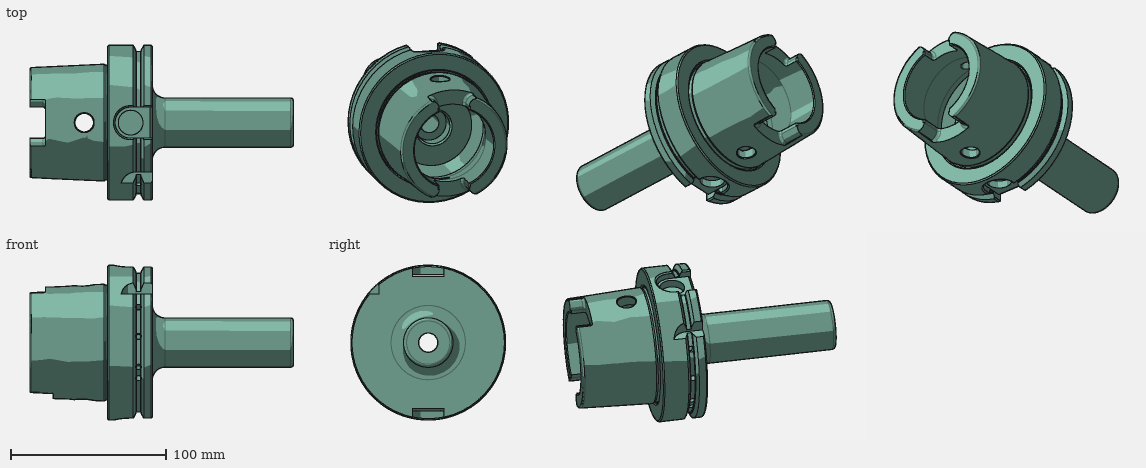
import cadquery as cq
import math


cut_clearance = 1.7
edge_margin = 0.8

total_length = 170.0
flange_front = 50.0
flange_rear = 79.0

taper_mouth_radius = 35.5
taper_base_radius = 37.7
taper_length = 47.8
taper_end_fillet = 1.2
neck_start = 49.0
neck_radius = 37.0

flange_radius = 50.0
flange_chamfer = 0.8
face_recess_radius = 38.2
face_recess_depth = 0.8
face_recess_chamfer = 0.8

groove_center = 70.0
groove_root_radius = 45.9
groove_root_width = 3.4
groove_root_corner = 0.3
groove_step_radius = 47.0
groove_flank_angle = 30.0

shank_radius = 16.0
shank_fillet = 8.0
shank_end_fillet = 2.0

bore_radius = 26.5
bore_mouth_chamfer = 0.7
bore_straight_length = 20.4
undercut_radius = 31.5
undercut_start = 41.0
bore_floor_radius = 25.3
bore_depth = 51.0
coolant_seat_radius = 11.0
coolant_seat_chamfer = 1.2
coolant_seat_depth = 10.2
through_hole_radius = 6.1

cross_hole_center = 35.0
cross_hole_radius = 6.0
cross_hole_chamfer = 0.5

drive_slot_half_width = 10.0
drive_slot_corner_radius = 5.0
drive_slot_shoulder = 32.0
upper_drive_slot_depth = 10.0
lower_drive_slot_depth = 15.0
drive_slot_floor_fillet = 1.7
drive_slot_entry_chamfer = 0.8

gripper_slot_center = 65.0
gripper_slot_half_width = 10.0
gripper_slot_floor = 44.0
gripper_slot_edge_chamfer = 1.0
gripper_slot_rear_chamfer = 1.5
spot_hole_radius = 8.0
spot_hole_depth = 5.3

notch_center = 68.3
notch_radius = 9.9
notch_floor = 31.5
notch_wall = 31.8

balance_hole_radius = 1.9
balance_hole_depth = 6.8
balance_hole_angles = (30.0, 5.0, -20.0, -30.0)


def turned(points):
    """Solid of revolution about X from (x, radius) points."""
    return cq.Workplane("XY").polyline(points).close().revolve(360, (0, 0, 0), (1, 0, 0))


def mirrored_pair(solid):
    """The solid together with its mirror image below the axis."""
    return solid.union(solid.mirror("XY"))


def gripper_slot_cutter():
    """Round-ended slot, open to the rear, from the slot floor outwards."""
    length = flange_rear - gripper_slot_center + gripper_slot_half_width
    height = flange_radius - gripper_slot_floor + cut_clearance
    width = 2 * gripper_slot_half_width
    plane = cq.Workplane("XY", origin=(gripper_slot_center, 0, gripper_slot_floor))
    round_end = plane.circle(gripper_slot_half_width).extrude(height)
    straight = plane.rect(2 * length, width).extrude(height)
    straight = straight.intersect(plane.box(length, width, 2 * height, centered=(False, True, True)))
    return round_end.union(straight)


def flange():
    """Flange disc with gripper slots, edge chamfers and the gripper groove."""
    width = flange_rear - flange_front
    disc = cq.Workplane("YZ", origin=(flange_front, 0, 0)).circle(flange_radius).extrude(width)
    disc = disc.cut(mirrored_pair(gripper_slot_cutter()))

    reach = gripper_slot_half_width + edge_margin
    for bottom, top in (
        (gripper_slot_floor + edge_margin, flange_radius + edge_margin),
        (-flange_radius - edge_margin, -gripper_slot_floor - edge_margin),
    ):
        slot_rim = cq.selectors.BoxSelector(
            (flange_front + edge_margin, -reach, bottom),
            (flange_rear - edge_margin, reach, top),
        )
        disc = disc.edges(slot_rim).chamfer(gripper_slot_edge_chamfer)

    disc = disc.edges("|Y").edges(">X").chamfer(gripper_slot_rear_chamfer)
    rim = flange_radius - flange_chamfer
    envelope = turned([
        (flange_front, 0),
        (flange_front, rim),
        (flange_front + flange_chamfer, flange_radius),
        (flange_rear - flange_chamfer, flange_radius),
        (flange_rear, rim),
        (flange_rear, 0),
    ])
    return disc.intersect(envelope).cut(groove_cutter()).cut(face_recess_cutter())


def groove_cutter():
    """Ring with a straight-walled root and flanks that open outwards."""
    outer = flange_radius + cut_clearance
    corner = groove_root_corner
    half_root = groove_root_width / 2
    half_top = half_root + (outer - groove_step_radius) * math.tan(math.radians(groove_flank_angle))
    return turned([
        (groove_center - half_root + corner, groove_root_radius),
        (groove_center - half_root, groove_root_radius + corner),
        (groove_center - half_root, groove_step_radius),
        (groove_center - half_top, outer),
        (groove_center + half_top, outer),
        (groove_center + half_root, groove_step_radius),
        (groove_center + half_root, groove_root_radius + corner),
        (groove_center + half_root - corner, groove_root_radius),
    ])


def face_recess_cutter():
    """Shallow chamfered recess around the neck in the flange face."""
    floor = flange_front + face_recess_depth + face_recess_chamfer
    return turned([
        (flange_front, 0),
        (flange_front, face_recess_radius + face_recess_chamfer),
        (flange_front + face_recess_chamfer, face_recess_radius),
        (floor, face_recess_radius),
        (floor, 0),
    ])


def taper():
    """Tapered shaft with its cross hole, and the undercut behind it."""
    neck_end = flange_front + face_recess_depth + face_recess_chamfer
    shaft = turned([
        (0, 0),
        (0, taper_mouth_radius),
        (taper_length, taper_base_radius),
        (neck_start, neck_radius),
        (neck_end, neck_radius),
        (neck_end, 0),
    ])
    shaft = shaft.faces("<X").edges().fillet(taper_end_fillet)
    shaft = shaft.cut(cross_hole_cutter())
    rim_reach = cross_hole_radius + edge_margin
    hole_rims = cq.selectors.BoxSelector(
        (cross_hole_center - rim_reach, -rim_reach, -taper_base_radius),
        (cross_hole_center + rim_reach, rim_reach, taper_base_radius),
        boundingbox=True,
    )
    return shaft.edges(hole_rims).edges("not |Z").chamfer(cross_hole_chamfer)


def shank():
    """Plain shank blended into the rear of the flange."""
    blend = shank_fillet * (1 - math.sqrt(0.5))
    return (
        cq.Workplane("XY")
        .moveTo(flange_rear, 0)
        .lineTo(flange_rear, shank_radius + shank_fillet)
        .threePointArc(
            (flange_rear + blend, shank_radius + blend),
            (flange_rear + shank_fillet, shank_radius),
        )
        .lineTo(total_length, shank_radius)
        .lineTo(total_length, 0)
        .close()
        .revolve(360, (0, 0, 0), (1, 0, 0))
        .faces(">X")
        .edges()
        .fillet(shank_end_fillet)
    )


def bore_cutter():
    """Clamping bore, coolant seat and the hole through the whole length."""
    undercut_end = bore_depth - (undercut_radius - bore_floor_radius)
    seat_end = bore_depth + coolant_seat_depth
    return turned([
        (0, 0),
        (0, bore_radius + bore_mouth_chamfer),
        (bore_mouth_chamfer, bore_radius),
        (bore_straight_length, bore_radius),
        (undercut_start, undercut_radius),
        (undercut_end, undercut_radius),
        (bore_depth, bore_floor_radius),
        (bore_depth, coolant_seat_radius + coolant_seat_chamfer),
        (bore_depth + coolant_seat_chamfer, coolant_seat_radius),
        (seat_end, coolant_seat_radius),
        (seat_end, through_hole_radius),
        (total_length, through_hole_radius),
        (total_length, 0),
    ])


def drive_slot_cutter(depth):
    """Slot above the axis whose walls curve outwards to a flat shoulder."""
    inner = bore_radius / 2
    outer = taper_base_radius
    half = drive_slot_half_width
    radius = drive_slot_corner_radius
    bend = radius * (1 - math.sqrt(0.5))
    top = drive_slot_shoulder
    slot = (
        cq.Workplane("YZ")
        .moveTo(-half, inner)
        .lineTo(half, inner)
        .lineTo(half, top - radius)
        .threePointArc((half + bend, top - bend), (half + radius, top))
        .lineTo(half + radius, outer)
        .lineTo(-half - radius, outer)
        .lineTo(-half - radius, top)
        .threePointArc((-half - bend, top - bend), (-half, top - radius))
        .close()
        .extrude(depth)
    )
    walls = cq.selectors.BoxSelector(
        (depth - edge_margin, -half - radius + edge_margin, inner + edge_margin),
        (depth + edge_margin, half + radius - edge_margin, top - edge_margin),
    )
    entry = (
        cq.Workplane("XY", origin=(0, 0, inner))
        .polyline([
            (0, -half - drive_slot_entry_chamfer),
            (drive_slot_entry_chamfer, -half),
            (drive_slot_entry_chamfer, half),
            (0, half + drive_slot_entry_chamfer),
        ])
        .close()
        .extrude(top - radius - inner)
    )
    return slot.edges(walls).fillet(drive_slot_floor_fillet).union(entry)


def cross_hole_cutter():
    """Cylinder through both sides of the taper wall."""
    plane = cq.Workplane("XY", origin=(cross_hole_center, 0, 0))
    return plane.circle(cross_hole_radius).extrude(taper_base_radius + cut_clearance, both=True)


def spot_hole_cutter():
    """Shallow flat-bottomed hole in the floor of the upper gripper slot."""
    bottom = gripper_slot_floor - spot_hole_depth
    plane = cq.Workplane("XY", origin=(gripper_slot_center, 0, bottom))
    return plane.circle(spot_hole_radius).extrude(spot_hole_depth + cut_clearance)


def notch_cutter():
    """Corner notch with a flat floor, a flat wall and a round front end."""
    length = flange_rear - notch_center
    height = flange_radius - notch_floor
    plane = cq.Workplane("XY", origin=(notch_center, -notch_wall - notch_radius, notch_floor))
    round_end = plane.circle(notch_radius).extrude(height)
    straight = plane.box(length, 2 * notch_radius, height, centered=(False, True, False))
    return round_end.union(straight)


def balance_hole_cutter(angle):
    """Radial blind hole in the groove root, turned up from -Y by the angle."""
    plane = cq.Workplane("XZ", origin=(groove_center, -groove_root_radius + balance_hole_depth, 0))
    hole = plane.circle(balance_hole_radius).extrude(balance_hole_depth)
    return hole.rotate((0, 0, 0), (1, 0, 0), -angle)


body = flange().union(taper()).union(shank())
body = body.cut(bore_cutter())
body = body.cut(drive_slot_cutter(upper_drive_slot_depth))
body = body.cut(drive_slot_cutter(lower_drive_slot_depth).mirror("XY"))
body = body.cut(mirrored_pair(spot_hole_cutter()))
body = body.cut(notch_cutter())
for hole_angle in balance_hole_angles:
    body = body.cut(balance_hole_cutter(hole_angle))

result = body